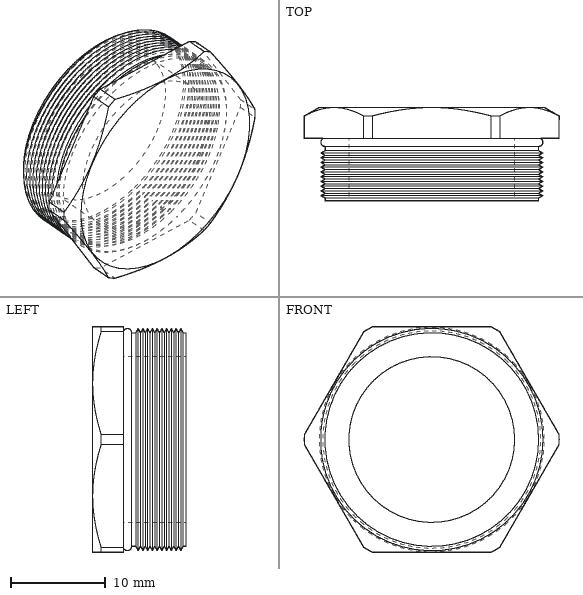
import cadquery as cq
import math

total_length = 9.9
head_thickness = 3.3
across_flats = 23.88
corner_diameter = 26.98
body_length = total_length - head_thickness

chamfer_angle = 30.0
head_face_radius = 11.9

crest_radius = 11.75
root_radius = 11.3
thread_length = 5.02
ridge_count = 10
thread_pitch = thread_length / ridge_count
thread_start = 0.3

ring_section_radius = crest_radius - root_radius
ring_gap = 0.4

bore_radius = 8.77
bore_depth = body_length


def make_head():
    """Hexagon with rounded corners and a chamfered outer face."""
    corner_radius = corner_diameter / 2
    hexagon_diameter = across_flats / math.cos(math.pi / 6)
    hexagon = (
        cq.Workplane("XZ", origin=(0, total_length, 0))
        .polygon(6, hexagon_diameter)
        .extrude(head_thickness)
    )
    chamfer_depth = (corner_radius - head_face_radius) * math.tan(math.radians(chamfer_angle))
    envelope = (
        cq.Workplane("XY")
        .moveTo(0, body_length)
        .lineTo(corner_radius, body_length)
        .lineTo(corner_radius, total_length - chamfer_depth)
        .lineTo(head_face_radius, total_length)
        .lineTo(0, total_length)
        .close()
        .revolve(360, (0, 0, 0), (0, 1, 0))
    )
    return hexagon.intersect(envelope)


def make_body():
    """Threaded body and sealing ring, revolved about Y."""
    ring_centre = body_length - ring_gap
    ring_end_radius = root_radius + math.sqrt(ring_section_radius**2 - ring_gap**2)

    profile = cq.Workplane("XY").lineTo(root_radius, 0).lineTo(root_radius, thread_start)
    for ridge in range(ridge_count):
        ridge_start = thread_start + ridge * thread_pitch
        profile = profile.lineTo(crest_radius, ridge_start + thread_pitch / 2)
        profile = profile.lineTo(root_radius, ridge_start + thread_pitch)
    profile = (
        profile.lineTo(root_radius, ring_centre - ring_section_radius)
        .threePointArc((crest_radius, ring_centre), (ring_end_radius, body_length))
        .lineTo(0, body_length)
        .close()
    )
    return profile.revolve(360, (0, 0, 0), (0, 1, 0))


def make_bore():
    """Plain round bore from the open end."""
    return cq.Workplane("XZ").circle(bore_radius).extrude(-bore_depth)


result = make_head().union(make_body()).cut(make_bore())